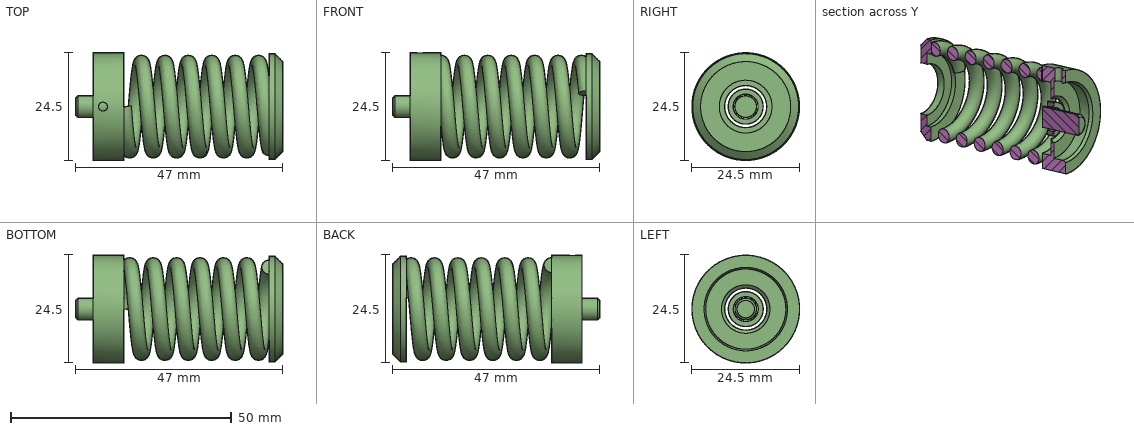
import cadquery as cq
import math

total_length = 47.0

recess_diameter = 17.15

housing_diameter = 24.5
housing_start = 4.0
housing_end = 10.95
pocket_diameter = 18.2
pocket_floor = 7.5
pocket_mouth_widening = 0.38
pocket_mouth_depth = 0.8
housing_bore = 9.5
housing_bore_widening = 0.75
housing_bore_taper_depth = 0.75
rear_recess_floor = 8.45
screw_hole_diameter = 2.0
screw_hole_station = 6.2

pin_diameter = 5.0
pin_chamfer = 0.5
bush_outer_diameter = 8.0
bush_inner_diameter = 5.6
bush_end = 9.5

plate_diameter = 24.0
plate_start = 43.9
plate_chamfer = 1.8
plate_recess_depth = 1.18
plate_bore = 12.0

spring_outer_diameter = 23.35
wire_diameter = 3.4
spring_turns = 6.2
spring_length = plate_start - housing_end
spring_pitch = spring_length / spring_turns
coil_radius = (spring_outer_diameter - wire_diameter) / 2


def cylinder(diameter, start, end):
    """Solid cylinder on the X axis between two stations."""
    return cq.Workplane("YZ", origin=(start, 0, 0)).circle(diameter / 2).extrude(end - start)


def tapered_entry(diameter, widening, depth, start):
    """Cone that narrows along +X to a hole's diameter; widening is on the radius."""
    axis_start = cq.Vector(start, 0, 0)
    axis_direction = cq.Vector(1, 0, 0)
    cone = cq.Solid.makeCone(diameter / 2 + widening, diameter / 2, depth, axis_start, axis_direction)
    return cq.Workplane(obj=cone)


def make_housing():
    body = cylinder(housing_diameter, housing_start, housing_end)
    pocket = cylinder(pocket_diameter, housing_start, pocket_floor)
    bore = cylinder(housing_bore, pocket_floor, housing_end)
    mouth = tapered_entry(pocket_diameter, pocket_mouth_widening, pocket_mouth_depth, housing_start)
    bore_entry = tapered_entry(housing_bore, housing_bore_widening, housing_bore_taper_depth, pocket_floor)
    rear_recess = cylinder(recess_diameter, rear_recess_floor, housing_end)
    screw_hole = (
        cq.Workplane("XY")
        .center(screw_hole_station, 0)
        .circle(screw_hole_diameter / 2)
        .extrude(housing_diameter / 2)
    )
    for hollow in (pocket, mouth, bore, bore_entry, rear_recess, screw_hole):
        body = body.cut(hollow)
    return body


def make_pin():
    return cylinder(pin_diameter, 0, housing_end).faces("<X").chamfer(pin_chamfer)


def make_bush():
    outside = cylinder(bush_outer_diameter, pocket_floor, bush_end)
    return outside.cut(cylinder(bush_inner_diameter, pocket_floor, bush_end))


def make_spring():
    helix = cq.Wire.makeHelix(spring_pitch, spring_length, coil_radius)
    lead_angle = math.atan2(spring_pitch, 2 * math.pi * coil_radius)
    wire_plane = cq.Plane(
        origin=(coil_radius, 0, 0),
        xDir=(1, 0, 0),
        normal=(0, math.cos(lead_angle), math.sin(lead_angle)),
    )
    coil = cq.Workplane(wire_plane).circle(wire_diameter / 2).sweep(helix, isFrenet=True)
    ground_space = cq.Workplane("XY").circle(spring_outer_diameter).extrude(spring_length)
    coil = coil.intersect(ground_space)
    coil = coil.rotate((0, 0, 0), (0, 1, 0), 90)
    coil = coil.rotate((0, 0, 0), (1, 0, 0), 180)
    return coil.translate((housing_end, 0, 0))


def make_end_plate():
    plate = cylinder(plate_diameter, plate_start, total_length)
    plate = plate.faces(">X").chamfer(plate_chamfer)
    recess = cylinder(recess_diameter, plate_start, plate_start + plate_recess_depth)
    return plate.cut(recess).cut(cylinder(plate_bore, plate_start, total_length))


housing = make_housing()
pin = make_pin()
bush = make_bush()
spring = make_spring()
end_plate = make_end_plate()

result = cq.Compound.makeCompound(
    [housing.val(), pin.val(), bush.val(), spring.val(), end_plate.val()]
)